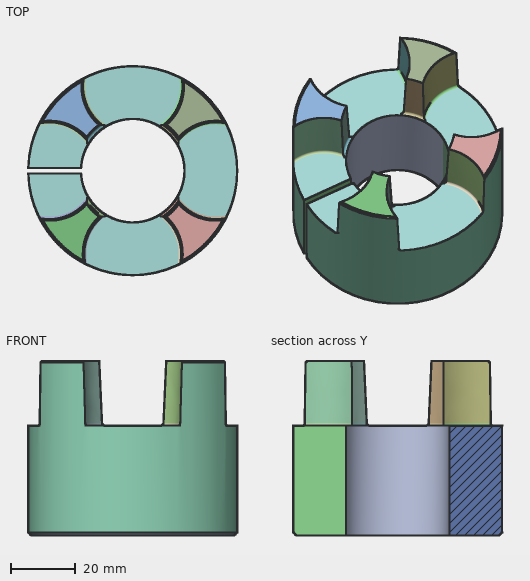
import cadquery as cq
import math

outer_diameter = 64.77
bore_diameter = 32.0
hub_height = 34.0
jaw_height = 20.1
total_height = hub_height + jaw_height

base_chamfer = 1.0
jaw_tip_chamfer = 0.5

jaw_count = 4
lobe_center_radius = 25.8
lobe_floor_radius = 15.0
lobe_top_radius = 15.5
wide_lobe_index = 1
wide_lobe_growth = 0.4
wide_lobe_shift = 0.4
core_floor_radius = 17.0
core_top_radius = 17.6
jaw_root_fillet = 0.7

slit_width = 1.65
screw_hole_diameter = 10.5
screw_hole_x = -22.1
screw_hole_z = 12.0
screw_hole_floor_y = 12.0


def make_blank():
    """Full-height cylinder with both rims chamfered."""
    blank = cq.Workplane("XY").circle(outer_diameter / 2).extrude(total_height)
    blank = blank.faces("<Z").edges().chamfer(base_chamfer)
    return blank.faces(">Z").edges().chamfer(jaw_tip_chamfer)


def make_pocket(floor_radius, top_radius):
    """Conical pocket volume on the Z axis, widening upward, with a rounded floor edge."""
    draft_angle = math.degrees(math.atan2(top_radius - floor_radius, jaw_height))
    pocket = (
        cq.Workplane("XY", origin=(0, 0, hub_height))
        .circle(floor_radius)
        .extrude(jaw_height, taper=-draft_angle)
    )
    return pocket.faces("<Z").edges().fillet(jaw_root_fillet)


def make_lobe(growth=0.0, shift=0.0):
    """Lobe pocket on the +X axis, optionally enlarged and moved outward."""
    lobe = make_pocket(lobe_floor_radius + growth, lobe_top_radius + growth)
    return lobe.translate((lobe_center_radius + shift, 0, 0))


def cut_jaws(body):
    """Clear the central pocket and the lobes, leaving the drafted jaws."""
    body = body.cut(make_pocket(core_floor_radius, core_top_radius))
    for index in range(jaw_count):
        angle = index * 360 / jaw_count
        if index == wide_lobe_index:
            lobe = make_lobe(wide_lobe_growth, wide_lobe_shift)
        else:
            lobe = make_lobe()
        body = body.cut(lobe.rotate((0, 0, 0), (0, 0, 1), angle))
    return body


def cut_bore(body):
    bore = cq.Workplane("XY").circle(bore_diameter / 2).extrude(total_height)
    return body.cut(bore)


def cut_clamp_slit(body):
    """Slit through the -X wall only, from the bore to the outside."""
    slit = cq.Workplane("XY").box(
        outer_diameter / 2, slit_width, total_height, centered=(False, True, False)
    )
    return body.cut(slit.translate((-outer_diameter / 2, 0, 0)))


def cut_screw_hole(body):
    """Blind hole parallel to Y, open to the outside on the +Y side."""
    depth = outer_diameter / 2 - screw_hole_floor_y
    hole = (
        cq.Workplane("XZ", origin=(screw_hole_x, screw_hole_floor_y, screw_hole_z))
        .circle(screw_hole_diameter / 2)
        .extrude(-depth)
    )
    return body.cut(hole)


hub = cut_jaws(make_blank())
hub = cut_bore(hub)
hub = cut_clamp_slit(hub)
result = cut_screw_hole(hub)